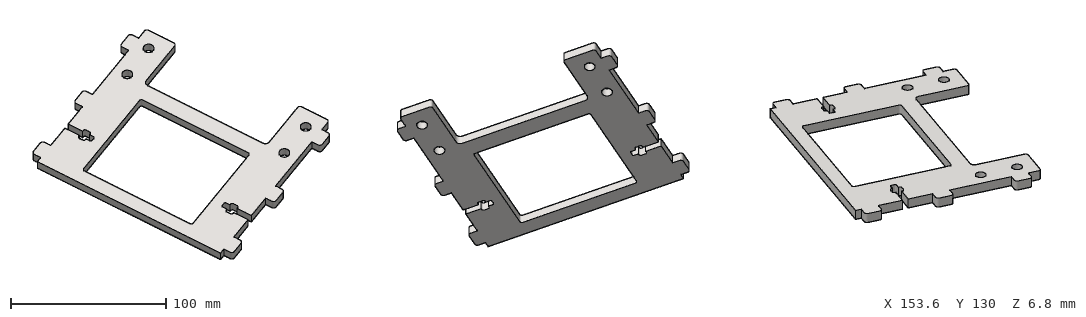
import cadquery as cq

overall_width = 153.6
depth = 130.0
thickness = 6.8
tab_reach = thickness
body_width = overall_width - 2 * tab_reach
front_y = -depth / 2
back_corner_radius = 1.8

tab_length = 12.0
tab_radius = 2.0
tab_centres = (10.0, 59.9, 115.0)

notch_width = 94.0
notch_floor = 91.2
notch_radius = 2.9

window_width = 83.5
window_front = 10.0
window_back = 79.4
window_radius = 1.4

hole_diameter = 6.9
hole_spacing_x = 120.1
hole_centres = (91.9, 117.4)

slot_centre = 34.9
slot_width = 4.0
slot_depth = 20.3
slot_end_radius = 0.9
nut_length = 8.0
nut_thickness = 5.2
nut_inset = 13.7
nut_radius = 1.2


def block(width, length, x, from_front):
    """Full-thickness block centred at x and at a distance from the front edge."""
    return cq.Workplane("XY").box(width, length, thickness).translate((x, front_y + from_front, 0))


def make_body():
    body = block(body_width, depth, 0, depth / 2)
    notch_length = depth - notch_floor
    notch = block(notch_width, 2 * notch_length, 0, depth).edges("|Z").fillet(notch_radius)
    return body.cut(notch).faces(">Y").edges("|Z").fillet(back_corner_radius)


def make_tab(side, centre):
    tab = block(2 * tab_reach, tab_length, side * body_width / 2, centre)
    outer_face = ">X" if side > 0 else "<X"
    return tab.faces(outer_face).edges("|Z").fillet(tab_radius)


def make_window():
    length = window_back - window_front
    window = block(window_width, length, 0, window_front + length / 2)
    return window.edges("|Z").fillet(window_radius)


def make_nut_slot(side):
    edge_x = side * body_width / 2
    slot = block(2 * slot_depth, slot_width, edge_x, slot_centre).edges("|Z").fillet(slot_end_radius)
    nut = block(nut_thickness, nut_length, edge_x - side * nut_inset, slot_centre)
    return slot.union(nut.edges("|Z").fillet(nut_radius))


def make_hole(side, centre):
    hole = cq.Workplane("XY").circle(hole_diameter / 2).extrude(thickness)
    return hole.translate((side * hole_spacing_x / 2, front_y + centre, -thickness / 2))


result = make_body().cut(make_window())
for side in (-1, 1):
    for centre in tab_centres:
        result = result.union(make_tab(side, centre))
    for centre in hole_centres:
        result = result.cut(make_hole(side, centre))
    result = result.cut(make_nut_slot(side))